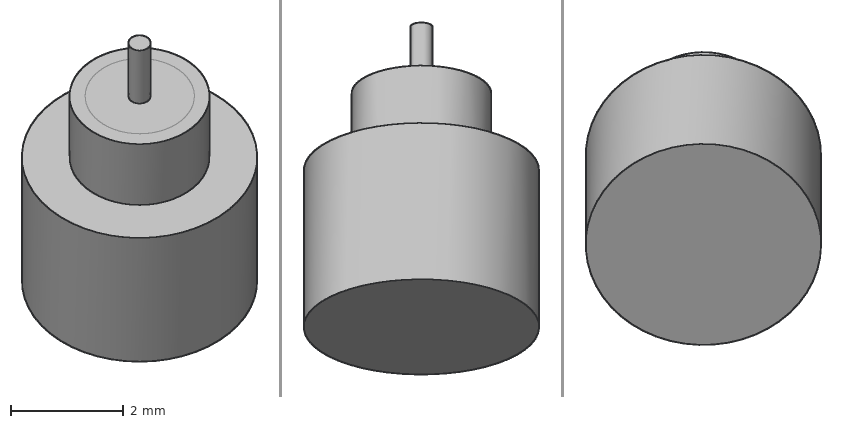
import cadquery as cq

overall_height = 5.85
body_diameter = 4.2
body_height = 3.05
collar_diameter = 2.5
collar_height = 1.5
insert_diameter = 1.95
pin_diameter = 0.4

collar_top = body_height + collar_height
pin_height = overall_height - collar_top


def cylinder(diameter, bottom, height):
    """Upright cylinder centred on the Z axis."""
    return cq.Workplane("XY", origin=(0, 0, bottom)).circle(diameter / 2).extrude(height)


body = cylinder(body_diameter, 0, body_height)
insert = cylinder(insert_diameter, body_height, collar_height)
collar = cylinder(collar_diameter, body_height, collar_height).cut(insert)
pin = cylinder(pin_diameter, collar_top, pin_height)

result = body.union(collar).union(insert, clean=False).union(pin, clean=False)